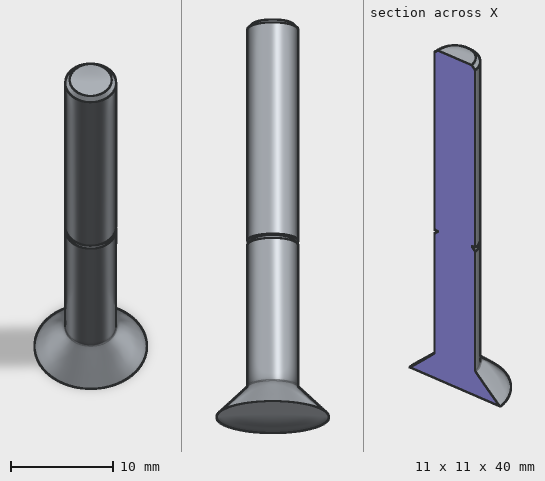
import cadquery as cq

total_length = 40.0
thread_length = 22.0
shank_radius = 2.5
head_radius = 5.5
neck_fillet = 0.2
end_chamfer = 0.45

head_height = head_radius - shank_radius
thread_start = total_length - thread_length
root_radius = shank_radius - end_chamfer

profile = (
    cq.Workplane("XZ")
    .lineTo(head_radius, 0)
    .lineTo(shank_radius, head_height)
    .lineTo(shank_radius, thread_start - end_chamfer)
    .lineTo(root_radius, thread_start)
    .lineTo(shank_radius, thread_start)
    .lineTo(shank_radius, total_length - end_chamfer)
    .lineTo(root_radius, total_length)
    .lineTo(0, total_length)
    .close()
)
screw = profile.revolve(360, (0, 0, 0), (0, 1, 0))

neck_edge = cq.selectors.BoxSelector(
    (-shank_radius, -shank_radius, head_height - neck_fillet),
    (shank_radius, shank_radius, head_height + neck_fillet),
    boundingbox=False,
)
result = screw.edges(neck_edge).edges("%CIRCLE").fillet(neck_fillet)